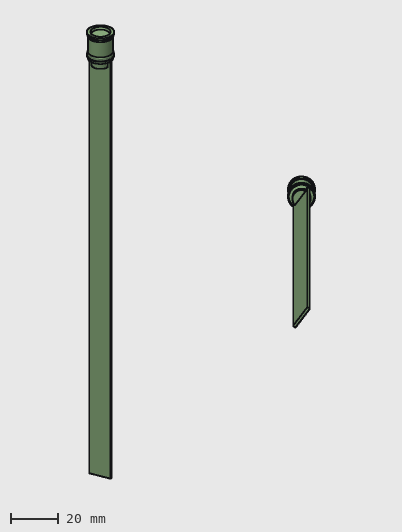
import cadquery as cq

TOTAL_HEIGHT = 212.5

CAP_RADIUS = 5.3
RIM_RADIUS = 5.7
NECK_RADIUS = 5.0
RIM_HEIGHT = 0.8
RIM_TAPER_HEIGHT = 0.5
NECK_HEIGHT = 0.8
CAP_HEIGHT = 13.0
CAP_BOTTOM = TOTAL_HEIGHT - CAP_HEIGHT
FOOT_CONE_HEIGHT = 0.5
MOUTH_RADIUS = 4.2
MOUTH_DEPTH = 1.0

BEAD_BOTTOM = CAP_BOTTOM + 1.7
BEAD_LAND_HEIGHT = 0.6
BEAD_CONE_HEIGHT = 0.6
BEAD_MIDDLE_RADIUS = (CAP_RADIUS + 2 * RIM_RADIUS) / 3

PLUG_RADIUS = 3.8
PLUG_PROJECTION = 2.8

STRAP_WIDTH = 10.2
STRAP_THICKNESS = 1.3


def cylinder(radius, bottom, top):
    return cq.Workplane("XY").workplane(offset=bottom).circle(radius).extrude(top - bottom)


def make_strap():
    return cq.Workplane("XY").box(STRAP_WIDTH, STRAP_THICKNESS, CAP_BOTTOM, centered=(True, True, False))


def make_cap():
    """Turned sleeve; its half profile lists radius and height from the foot up to the mouth."""
    foot_top = CAP_BOTTOM + FOOT_CONE_HEIGHT
    bead_land_top = BEAD_BOTTOM + BEAD_LAND_HEIGHT
    bead_middle = bead_land_top + BEAD_CONE_HEIGHT
    bead_top = bead_middle + BEAD_CONE_HEIGHT
    rim_bottom = TOTAL_HEIGHT - RIM_HEIGHT
    neck_top = rim_bottom - RIM_TAPER_HEIGHT
    neck_bottom = neck_top - NECK_HEIGHT
    mouth_floor = TOTAL_HEIGHT - MOUTH_DEPTH
    profile = [
        (PLUG_RADIUS, CAP_BOTTOM),
        (CAP_RADIUS, foot_top),
        (CAP_RADIUS, BEAD_BOTTOM),
        (RIM_RADIUS, BEAD_BOTTOM),
        (RIM_RADIUS, bead_land_top),
        (BEAD_MIDDLE_RADIUS, bead_middle),
        (CAP_RADIUS, bead_top),
        (CAP_RADIUS, neck_bottom),
        (NECK_RADIUS, neck_bottom),
        (NECK_RADIUS, neck_top),
        (RIM_RADIUS, rim_bottom),
        (RIM_RADIUS, TOTAL_HEIGHT),
        (MOUTH_RADIUS, TOTAL_HEIGHT),
        (PLUG_RADIUS, mouth_floor),
    ]
    half_section = cq.Workplane("XZ").polyline(profile).close()
    return half_section.revolve(360, (0, 0, 0), (0, 1, 0))


def make_plug(strap):
    plug_bottom = CAP_BOTTOM - PLUG_PROJECTION
    plug_top = TOTAL_HEIGHT - MOUTH_DEPTH
    return cylinder(PLUG_RADIUS, plug_bottom, plug_top).cut(strap)


strap = make_strap()
cap = make_cap()
plug = make_plug(strap)

result = cq.Compound.makeCompound([strap.val(), cap.val(), plug.val()])